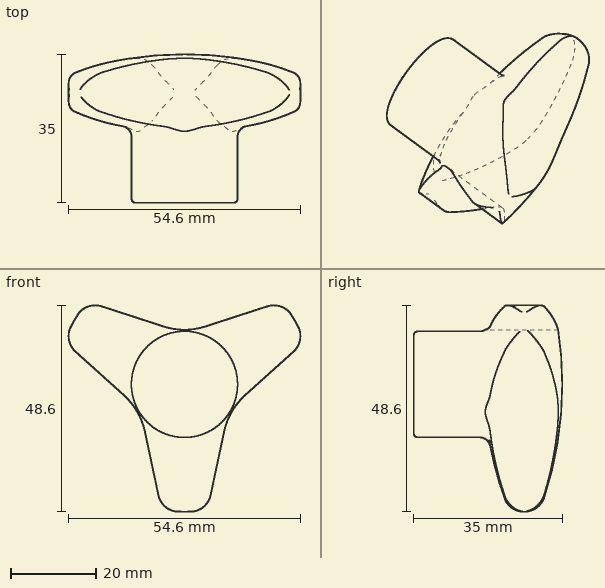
import math

import cadquery as cq


total_length = 35.0
head_radius = 30.0
lobe_count = 3

hub_radius = 12.5
hub_edge_radius = 1.0
hub_root_radius = 2.5

back_dome_height = 9.0
rim_radius = 5.0
hub_side_edge_r = 27.4
hub_side_dome_radius = 78.0
mid_plane_y = total_length - back_dome_height

lobe_side_angle = 12.0
tip_half_width = 5.33
tip_corner_radius = 5.0
valley_radius = 16.0
first_lobe_angle = -90.0

rim_center_r = head_radius - rim_radius
back_dome_radius = (rim_center_r**2 + back_dome_height**2 - rim_radius**2) / (
    2 * (back_dome_height - rim_radius)
)
back_dome_center_y = total_length - back_dome_radius

hub_side_edge_y = mid_plane_y - math.sqrt(rim_radius**2 - (hub_side_edge_r - rim_center_r) ** 2)
hub_side_edge_angle = math.asin(hub_side_edge_r / hub_side_dome_radius)
hub_side_center_y = hub_side_edge_y + hub_side_dome_radius * math.cos(hub_side_edge_angle)


def arc_point(center, radius, angle):
    """Point on a profile arc, angle in radians from the +Y direction toward +R."""
    return center[0] + radius * math.sin(angle), center[1] + radius * math.cos(angle)


def revolved_body():
    """Hub and lens-shaped head as one full turned body."""
    rim_center = (rim_center_r, mid_plane_y)
    back_center = (0, back_dome_center_y)
    hub_side_center = (0, hub_side_center_y)
    back_edge_angle = math.atan2(rim_center_r, mid_plane_y - back_dome_center_y)

    root_center_r = hub_radius + hub_root_radius
    root_angle = math.asin(root_center_r / (hub_side_dome_radius + hub_root_radius))
    root_center = arc_point(hub_side_center, hub_side_dome_radius + hub_root_radius, math.pi - root_angle)
    root_mid = arc_point(root_center, hub_root_radius, -(math.pi / 2 + root_angle) / 2)
    root_end = arc_point(hub_side_center, hub_side_dome_radius, math.pi - root_angle)

    hub_side_mid_angle = math.pi - (root_angle + hub_side_edge_angle) / 2
    hub_side_mid = arc_point(hub_side_center, hub_side_dome_radius, hub_side_mid_angle)

    profile = (
        cq.Workplane("XY")
        .lineTo(hub_radius, 0)
        .lineTo(hub_radius, root_center[1])
        .threePointArc(root_mid, root_end)
        .threePointArc(hub_side_mid, (hub_side_edge_r, hub_side_edge_y))
        .threePointArc((head_radius, mid_plane_y), arc_point(rim_center, rim_radius, back_edge_angle))
        .threePointArc(arc_point(back_center, back_dome_radius, back_edge_angle / 2), (0, total_length))
        .close()
    )
    body = profile.revolve(360, (0, 0), (0, 1))
    return body.faces("<Y").edges().fillet(hub_edge_radius)


def polar_point(radius, angle):
    """X and Z of a point at the given radius and angle in degrees."""
    return radius * math.cos(math.radians(angle)), radius * math.sin(math.radians(angle))


def lobe_prism():
    """Three-lobed outline extruded along the whole length."""
    pitch = 360 / lobe_count
    side_angle = math.radians(lobe_side_angle)
    axis_half_width = tip_half_width + head_radius * math.tan(side_angle)
    side_distance = axis_half_width * math.cos(side_angle)
    valley_vertex_radius = side_distance / math.cos(math.radians(90 - pitch / 2) - side_angle)
    tip_corner_distance = math.hypot(head_radius, tip_half_width)
    tip_corner_angle = math.degrees(math.atan2(tip_half_width, head_radius))

    outline = []
    for lobe in range(lobe_count):
        lobe_angle = first_lobe_angle + lobe * pitch
        outline.append(polar_point(tip_corner_distance, lobe_angle - tip_corner_angle))
        outline.append(polar_point(tip_corner_distance, lobe_angle + tip_corner_angle))
        outline.append(polar_point(valley_vertex_radius, lobe_angle + pitch / 2))

    prism = cq.Workplane("XZ").polyline(outline).close().extrude(-total_length)

    def is_valley(edge):
        return math.hypot(edge.Center().x, edge.Center().z) < rim_center_r

    valley_edges = [edge for edge in prism.edges("|Y").vals() if is_valley(edge)]
    rounded = prism.newObject(valley_edges).fillet(valley_radius)
    tip_edges = [edge for edge in rounded.edges("|Y").vals() if not is_valley(edge)]
    return rounded.newObject(tip_edges).fillet(tip_corner_radius)


result = revolved_body().intersect(lobe_prism())